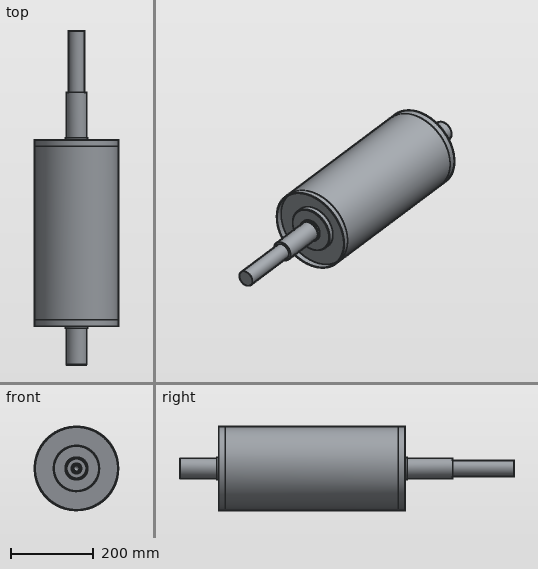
import cadquery as cq
import math

total_length = 810.0
drum_diameter = 204.0

drum_length = 452.0
front_shaft_length = 94.0
drive_journal_length = 149.0
front_end = -total_length / 2
back_end = total_length / 2
drum_front = front_end + front_shaft_length
drum_back = drum_front + drum_length

shaft_diameter = 50.0
drive_journal_diameter = 40.0
collar_diameter = 55.0
collar_projection = 5.0
shaft_chamfer = 2.0

recess_diameter = 200.0
recess_depth = 16.0
hub_diameter = 112.0
hub_setback = 2.0
hub_chamfer = 2.0

guard_diameter = 25.0
guard_angle = 120.0
countersink_diameter = 22.0
countersink_angle = 60.0
relief_diameter = 17.0
relief_depth = 13.0
core_diameter = 14.0
core_depth = 44.5
drill_tip_angle = 120.0


def cylinder(diameter, y_start, y_end):
    """Solid cylinder on the Y axis between two stations."""
    plane = cq.Workplane("XZ", origin=(0, y_end, 0))
    return plane.circle(diameter / 2).extrude(y_end - y_start)


def cone_height(large_diameter, small_diameter, included_angle):
    """Axial length of a cone between two diameters."""
    return (large_diameter - small_diameter) / 2 / math.tan(math.radians(included_angle / 2))


def make_drum():
    """Drum with a recess around a chamfered hub at each end."""
    drum = cylinder(drum_diameter, drum_front, drum_back)
    drum = drum.cut(cylinder(recess_diameter, drum_front, drum_front + recess_depth))
    drum = drum.cut(cylinder(recess_diameter, drum_back - recess_depth, drum_back))
    hub = cylinder(hub_diameter, drum_front + hub_setback, drum_back - hub_setback)
    hub = hub.faces("<Y or >Y").chamfer(hub_chamfer)
    return drum.union(hub)


def make_shaft():
    """Stepped shaft with a collar showing at each drum end."""
    shoulder = back_end - drive_journal_length
    shaft = cylinder(shaft_diameter, front_end, shoulder)
    shaft = shaft.faces("<Y").chamfer(shaft_chamfer)
    collar = cylinder(collar_diameter, drum_front - collar_projection, drum_back + collar_projection)
    journal = cylinder(drive_journal_diameter, shoulder, back_end)
    return shaft.union(collar).union(journal)


def make_center_hole():
    """Protective bevel, countersink, thread relief and drilled core with a conical tip."""
    guard_end = front_end + cone_height(guard_diameter, countersink_diameter, guard_angle)
    countersink_end = guard_end + cone_height(countersink_diameter, relief_diameter, countersink_angle)
    relief_end = front_end + relief_depth
    core_end = front_end + core_depth
    tip_end = core_end + cone_height(core_diameter, 0, drill_tip_angle)
    profile = [
        (0, front_end),
        (guard_diameter / 2, front_end),
        (countersink_diameter / 2, guard_end),
        (relief_diameter / 2, countersink_end),
        (relief_diameter / 2, relief_end),
        (core_diameter / 2, relief_end),
        (core_diameter / 2, core_end),
        (0, tip_end),
    ]
    return cq.Workplane("XY").polyline(profile).close().revolve(360, (0, 0, 0), (0, 1, 0))


result = make_drum().union(make_shaft()).cut(make_center_hole())